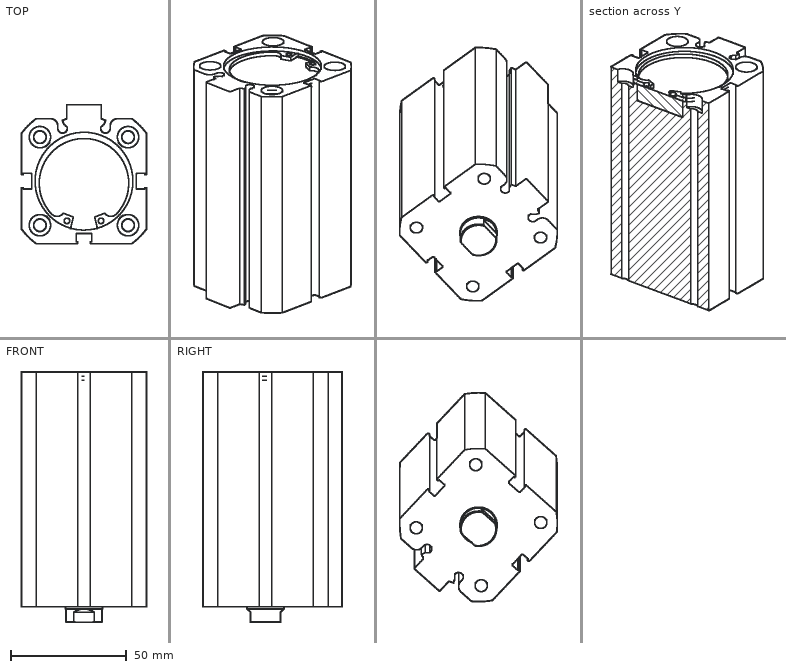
import cadquery as cq
import math

total_length = 108.0
rod_projection = 6.7
length = total_length - rod_projection

width = 54.0
half_width = width / 2
corner_radius = 34.0

slot_mouth = 5.5
slot_width = 6.65
slot_lip = 0.9
slot_depth = 4.4
slot_edge_radius = 0.3

rail_width = 14.9
rail_top = 33.0
rail_edge_radius = 0.3
barb_tip = (9.4, 26.2)
barb_root = (8.7, 24.6)
groove_radius = 2.0
groove_center = (9.25, 22.75)
groove_mouth_radius = 3.2
groove_start_angle = 165.0

hole_pitch = 38.0
hole_diameter = 5.3
counterbore_diameter = 9.2
counterbore_depth = 6.0

bore_radius = 21.1
ring_groove_radius = 22.2
ring_top_depth = 1.85
ring_thickness = 1.7
cover_thickness = 8.0
ring_top = length - ring_top_depth
cover_top = ring_top - ring_thickness
cover_bottom = cover_top - cover_thickness

ring_inner_radius = 19.3
ring_inner_offset = -0.9
lug_hole_diameter = 2.4
lug_hole = (7.35, -17.1)
lug_gap_outer = (6.0, -21.3)
lug_gap_inner = (4.6, -15.5)
lug_corner = (8.85, -13.8)
lug_dip = (11.4, -15.15)
lug_blend_x = 14.0

rod_diameter = 16.1
tip_diameter = 15.7
shoulder_depth = 0.7
shoulder_step = (rod_diameter - tip_diameter) / 2
rod_flats = 13.1
tip_chamfer = 0.4

round_mid = 1 - math.sqrt(0.5)


def make_profile():
    """Square extrusion with turned corners and the grooved port rail."""
    square = cq.Workplane("XY").rect(width, width).extrude(length)
    square = square.intersect(cq.Workplane("XY").circle(corner_radius).extrude(length))
    rail = (
        cq.Workplane("XY")
        .center(0, rail_top / 2)
        .rect(rail_width, rail_top)
        .extrude(length)
        .edges("|Z and >Y")
        .fillet(rail_edge_radius)
    )
    body = square.union(rail)
    for side in (1, -1):
        body = body.cut(make_rail_groove(side))
    return body


def make_rail_groove(side):
    """Cutter between the barbed rail flank and the rounded shoulder of the housing."""
    center_x, center_y = groove_center
    outer_x = center_x + groove_radius
    shoulder_y = half_width - groove_mouth_radius
    mouth_x = outer_x + groove_mouth_radius
    arc_mid = groove_mouth_radius * round_mid
    angle = math.radians(groove_start_angle)
    arc_start_x = center_x + groove_radius * math.cos(angle)
    arc_start_y = center_y + groove_radius * math.sin(angle)

    def at(x, y):
        return side * x, y

    return (
        cq.Workplane("XY")
        .moveTo(*at(rail_width / 2, half_width))
        .lineTo(*at(*barb_tip))
        .lineTo(*at(*barb_root))
        .lineTo(*at(arc_start_x, arc_start_y))
        .threePointArc(at(center_x, center_y - groove_radius), at(outer_x, center_y))
        .lineTo(*at(outer_x, shoulder_y))
        .threePointArc(at(outer_x + arc_mid, half_width - arc_mid), at(mouth_x, half_width))
        .close()
        .extrude(length)
    )


def make_slot(angle):
    """T-slot cutter with a flared mouth, turned from the -Y side by the given angle."""
    inside_depth = slot_depth - slot_lip
    inside = (
        cq.Workplane("XY")
        .center(0, -half_width + slot_lip + inside_depth / 2)
        .rect(slot_width, inside_depth)
        .extrude(length)
        .edges("|Z and >Y")
        .fillet(slot_edge_radius)
    )
    half_mouth = slot_mouth / 2
    flare_x = half_mouth + slot_edge_radius
    flare_top = -half_width + slot_edge_radius
    arc_mid = slot_edge_radius * round_mid
    mouth = (
        cq.Workplane("XY")
        .moveTo(-flare_x, -half_width)
        .threePointArc((-half_mouth - arc_mid, -half_width + arc_mid), (-half_mouth, flare_top))
        .lineTo(-half_mouth, -half_width + slot_depth / 2)
        .lineTo(half_mouth, -half_width + slot_depth / 2)
        .lineTo(half_mouth, flare_top)
        .threePointArc((half_mouth + arc_mid, -half_width + arc_mid), (flare_x, -half_width))
        .close()
        .extrude(length)
    )
    return mouth.union(inside).rotate((0, 0, 0), (0, 0, 1), angle)


def make_housing():
    """Housing with slots, bore, snap ring groove, rod bore and corner mounting holes."""
    body = make_profile()
    for angle in (0, 90, -90):
        body = body.cut(make_slot(angle))
    bore = (
        cq.Workplane("XY")
        .workplane(offset=cover_bottom)
        .circle(bore_radius)
        .extrude(length - cover_bottom)
    )
    body = body.cut(bore)
    body = body.cut(
        cq.Workplane("XY").workplane(offset=cover_top).circle(ring_groove_radius).extrude(ring_thickness)
    )
    body = body.cut(cq.Workplane("XY").circle(rod_diameter / 2).extrude(cover_bottom))
    return (
        body.faces(">Z")
        .workplane(origin=(0, 0, length))
        .rect(hole_pitch, hole_pitch, forConstruction=True)
        .vertices()
        .cboreHole(hole_diameter, counterbore_diameter, counterbore_depth)
    )


def make_head_cover():
    """Disc that closes the bore under the snap ring."""
    return cq.Workplane("XY").workplane(offset=cover_bottom).circle(bore_radius).extrude(cover_thickness)


def make_snap_ring():
    """Open ring with an offset inner edge and two pierced lugs beside its gap."""
    inner_dy = math.sqrt(ring_inner_radius**2 - lug_blend_x**2)
    blend_y = ring_inner_offset - inner_dy

    def mirrored(point):
        return -point[0], point[1]

    opening = (
        cq.Workplane("XY")
        .workplane(offset=cover_top)
        .moveTo(-lug_blend_x, blend_y)
        .threePointArc((0, ring_inner_offset + ring_inner_radius), (lug_blend_x, blend_y))
        .threePointArc(lug_dip, lug_corner)
        .lineTo(*lug_gap_inner)
        .lineTo(*lug_gap_outer)
        .lineTo(lug_gap_outer[0], -half_width)
        .lineTo(-lug_gap_outer[0], -half_width)
        .lineTo(*mirrored(lug_gap_outer))
        .lineTo(*mirrored(lug_gap_inner))
        .lineTo(*mirrored(lug_corner))
        .threePointArc(mirrored(lug_dip), (-lug_blend_x, blend_y))
        .close()
        .extrude(ring_thickness)
    )
    holes = (
        cq.Workplane("XY")
        .workplane(offset=cover_top)
        .pushPoints([lug_hole, mirrored(lug_hole)])
        .circle(lug_hole_diameter / 2)
        .extrude(ring_thickness)
    )
    ring = cq.Workplane("XY").workplane(offset=cover_top).circle(ring_groove_radius).extrude(ring_thickness)
    return ring.cut(opening).cut(holes)


def make_rod():
    """Rod with a turned-down tip and two wrench flats that run out at 45 degrees."""
    rod_radius = rod_diameter / 2
    tip_radius = tip_diameter / 2
    rod = (
        cq.Workplane("XZ")
        .moveTo(0, -rod_projection)
        .lineTo(tip_radius - tip_chamfer, -rod_projection)
        .lineTo(tip_radius, -rod_projection + tip_chamfer)
        .lineTo(tip_radius, -shoulder_depth - shoulder_step)
        .lineTo(rod_radius, -shoulder_depth)
        .lineTo(rod_radius, cover_bottom)
        .lineTo(0, cover_bottom)
        .close()
        .revolve()
    )
    flat_y = rod_flats / 2
    runout_start = -shoulder_depth - shoulder_step
    runout = tip_radius - flat_y
    for side in (1, -1):
        flat_cutter = (
            cq.Workplane("YZ")
            .moveTo(side * flat_y, -rod_projection)
            .lineTo(side * flat_y, runout_start - runout)
            .lineTo(side * tip_radius, runout_start)
            .lineTo(side * tip_radius, -rod_projection)
            .close()
            .extrude(rod_radius, both=True)
        )
        rod = rod.cut(flat_cutter)
    return rod


housing = make_housing()
head_cover = make_head_cover()
snap_ring = make_snap_ring()
rod = make_rod()

result = cq.Compound.makeCompound([housing.val(), head_cover.val(), snap_ring.val(), rod.val()])